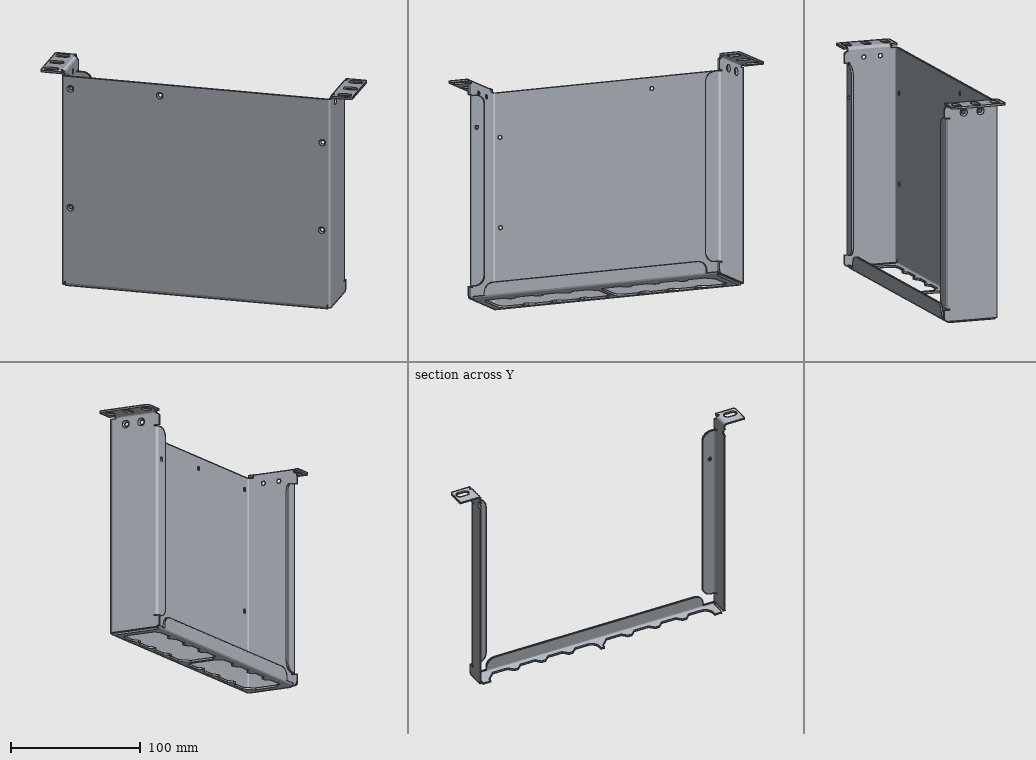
import cadquery as cq

sheet = 1.5
bend_radius = 2 * sheet
inner_radius = bend_radius - sheet

overall_width = 249.5
overall_depth = 44.5
overall_height = 174.3
tray_width = 215.5
wall_top = overall_height - bend_radius
half_tray = tray_width / 2
flat_half_width = half_tray - bend_radius
corner_radius = 3.0

relief_width = 0.7
corner_relief_height = 2.2
ear_relief_length = 1.2

side_flange_back = 43.0
bottom_flange_back = 42.2
flange_width = 12.7
flange_radius = 7.5
flange_bottom = 11.2
flange_top = 161.4
half_bottom_flange = half_tray - flange_width

ear_front = 0.5
ear_radius = 2.0
ear_neck_front = 5.7
ear_neck_back = 41.5
slot_length = 10.7
slot_height = 6.0
slot_pitch = 16.0
slot_count = 3
slot_x = 117.5

panel_hole = 3.0
panel_sink = 5.2
panel_holes = [(-100.5, 161.4), (-29.0, 162.4), (101.3, 136.0), (100.8, 64.5), (-100.5, 64.5)]
flange_hole = panel_holes[2]
wall_hole = 3.2
wall_sink = 6.0
wall_hole_ys = (14.7, 28.5)
wall_hole_z = 165.9
sink_depth = 1.2

opening_width = 96.8
opening_front = 5.2
opening_back = 38.0
opening_centres = (-49.6, 50.1)
opening_corner = 6.7
lobe_pitch = 24.0
lobe_shift = 1.0
lobe_base = 11.2
lobe_tip = 3.5
front_lobe_depth = 3.0
back_lobe_depth = 4.0


def box(x_range, y_range, z_range):
    """Axis-aligned block between the given limits."""
    sizes = [high - low for low, high in (x_range, y_range, z_range)]
    corner = (x_range[0], y_range[0], z_range[0])
    return cq.Workplane("XY").box(*sizes, centered=False).translate(corner)


def bend(corner, u_dir, axis, length):
    """Quarter-round bend between the directions u and axis x u from its sharp outer corner."""
    plane = cq.Plane(origin=corner, xDir=u_dir, normal=axis)
    square = cq.Workplane(plane).rect(bend_radius, bend_radius, centered=False).extrude(length)
    centre = cq.Workplane(plane).center(bend_radius, bend_radius)
    ring = centre.circle(bend_radius).circle(inner_radius).extrude(length)
    return square.intersect(ring)


def make_side_wall():
    """Left wall with its front bend and rear flange."""
    inner_face = -half_tray + sheet
    wall = box((-half_tray, inner_face), (bend_radius, overall_depth), (sheet, wall_top))
    wall = wall.edges("|X and >Y").fillet(corner_radius)
    window = box(
        (-half_tray, inner_face),
        (side_flange_back - bend_radius, overall_depth),
        (flange_bottom - relief_width, flange_top + relief_width),
    )
    front_bend = bend((-half_tray, 0, wall_top), (0, 1, 0), (0, 0, -1), wall_top - sheet)
    corner_relief = box(
        (-flat_half_width - relief_width, -flat_half_width),
        (0, bend_radius),
        (sheet, sheet + corner_relief_height),
    )
    flange_bend = bend(
        (-half_tray, side_flange_back, flange_bottom), (0, -1, 0), (0, 0, 1), flange_top - flange_bottom
    )
    flange = box(
        (-flat_half_width, -half_tray + flange_width),
        (side_flange_back - sheet, side_flange_back),
        (flange_bottom, flange_top),
    )
    flange = flange.edges("|Y and >X").fillet(flange_radius)
    return wall.cut(window).union(front_bend.cut(corner_relief)).union(flange_bend).union(flange)


def make_ear():
    """Left mounting ear, joined to the wall by a narrower bent neck."""
    wall_inner_face = -half_tray + sheet
    bend_start = wall_inner_face - bend_radius
    plate_end = bend_start + ear_relief_length
    plate = box(
        (-overall_width / 2, plate_end),
        (ear_front, overall_depth),
        (overall_height - sheet, overall_height),
    )
    plate = plate.edges("|Z and <X").fillet(ear_radius)
    neck_clearance = box(
        (bend_start, plate_end),
        (ear_neck_front - relief_width, ear_neck_back + relief_width),
        (overall_height - sheet, overall_height),
    )
    slots = (
        cq.Workplane("XY")
        .center(-slot_x, (ear_front + overall_depth) / 2)
        .rarray(2.5, slot_pitch, 1, slot_count)
        .slot2D(slot_length, slot_height)
        .extrude(overall_height)
    )
    neck_corner = (wall_inner_face, ear_neck_front, overall_height)
    neck = bend(neck_corner, (0, 0, -1), (0, 1, 0), ear_neck_back - ear_neck_front)
    return plate.cut(neck_clearance).cut(slots).union(neck)


def make_front_and_bottom():
    """Front panel, bottom plate and bottom rear flange, bent from one strip."""
    flat_x = (-flat_half_width, flat_half_width)
    width = 2 * flat_half_width
    front = box(flat_x, (0, sheet), (bend_radius, wall_top))
    front_bend = bend((-flat_half_width, 0, 0), (0, 1, 0), (1, 0, 0), width)
    bottom = box(flat_x, (bend_radius, bottom_flange_back - bend_radius), (0, sheet))
    rear_bend = bend((-flat_half_width, bottom_flange_back, 0), (0, 0, 1), (1, 0, 0), width)
    flange = box(
        (-half_bottom_flange, half_bottom_flange),
        (bottom_flange_back - sheet, bottom_flange_back),
        (bend_radius, flange_width),
    )
    flange = flange.edges("|Y and >Z").fillet(flange_radius)
    return front.union(front_bend).union(bottom).union(rear_bend).union(flange)


def make_lobe(x, edge_y, tip_y):
    """Tapered lobe reaching into a bottom opening from one long edge."""
    return (
        cq.Workplane("XY")
        .moveTo(x - lobe_base / 2, edge_y)
        .lineTo(x - lobe_tip / 2, tip_y)
        .lineTo(x + lobe_tip / 2, tip_y)
        .lineTo(x + lobe_base / 2, edge_y)
        .close()
        .extrude(sheet)
    )


def make_opening(centre_x):
    """Bottom opening: chamfered left corners, rounded right corners, three lobes per long edge."""
    half_width = opening_width / 2
    opening = box(
        (centre_x - half_width, centre_x + half_width), (opening_front, opening_back), (0, sheet)
    )
    opening = opening.edges("|Z and <X").chamfer(opening_corner)
    opening = opening.edges("|Z and >X").fillet(opening_corner)
    for index in (-1, 0, 1):
        lobe_x = centre_x + lobe_shift + index * lobe_pitch
        opening = opening.cut(make_lobe(lobe_x, opening_front, opening_front + front_lobe_depth))
        opening = opening.cut(make_lobe(lobe_x, opening_back, opening_back - back_lobe_depth))
    return opening


def countersunk_hole(point, inward, hole, sink):
    """Hole through one sheet with a conical sink opening at the outer face."""
    start = cq.Vector(*point)
    direction = cq.Vector(*inward)
    shank = cq.Solid.makeCylinder(hole / 2, sheet, start, direction)
    cone = cq.Solid.makeCone(sink / 2, hole / 2, sink_depth, start, direction)
    return cq.Workplane(shank.fuse(cone))


left_side = make_side_wall().union(make_ear())
result = make_front_and_bottom().union(left_side).union(left_side.mirror("YZ"))

for opening_x in opening_centres:
    result = result.cut(make_opening(opening_x))

for x, z in panel_holes:
    result = result.cut(countersunk_hole((x, 0, z), (0, 1, 0), panel_hole, panel_sink))

for y in wall_hole_ys:
    for side in (-1, 1):
        hole = countersunk_hole((side * half_tray, y, wall_hole_z), (-side, 0, 0), wall_hole, wall_sink)
        result = result.cut(hole)

flange_hole_x, flange_hole_z = flange_hole
flange_drill = cq.Solid.makeCylinder(
    panel_hole / 2,
    sheet,
    cq.Vector(flange_hole_x, side_flange_back - sheet, flange_hole_z),
    cq.Vector(0, 1, 0),
)
result = result.cut(cq.Workplane(flange_drill))